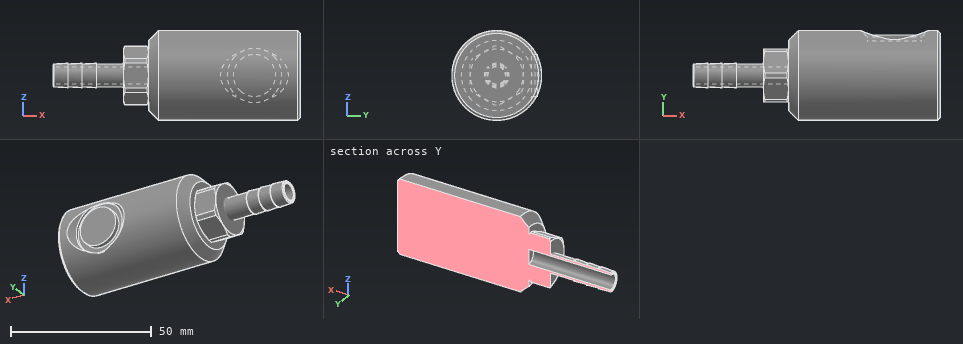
import cadquery as cq
import math

length = 88.0
nut_start = 25.0
body_start = 34.0

body_radius = 16.0
front_chamfer = 3.5
rear_chamfer = 1.1

nut_across_flats = 19.0
nut_corner_radius = 10.5
nut_face_radius = 9.4
nut_bevel = 0.5

stem_radius = 4.1
barb_radius = 4.4
barb_count = 3
barb_pitch = 5.0
tip_chamfer = 0.35
stem_fillet = 0.35
bore_radius = 3.1
bore_chamfer = 0.3

recess_x = 71.6
recess_radius = 9.7
recess_floor = 12.3
countersink_depth = 2.4
pad_radius = 7.5
pad_top = 14.4


def make_body():
    """Turned body with a bevel at each end."""
    body = cq.Workplane("YZ", origin=(body_start, 0, 0)).circle(body_radius).extrude(length - body_start)
    return body.faces("<X").chamfer(front_chamfer).faces(">X").chamfer(rear_chamfer)


def make_nut():
    """Hexagon with corners up and down, trimmed by a disc with bevelled rims."""
    nut_length = body_start - nut_start
    plane = cq.Workplane("YZ", origin=(nut_start, 0, 0))
    corner_diameter = nut_across_flats / math.cos(math.pi / 6)
    hexagon = plane.transformed(rotate=(0, 0, 90)).polygon(6, corner_diameter).extrude(nut_length)
    disc = plane.circle(nut_corner_radius).extrude(nut_length)
    rim_step = nut_corner_radius - nut_face_radius
    disc = disc.faces("<X").chamfer(nut_bevel, rim_step).faces(">X").chamfer(nut_bevel, rim_step)
    return hexagon.intersect(disc)


def make_barb():
    """Revolved stem whose tapered barbs widen away from the open tip."""
    profile = cq.Workplane("XY").lineTo(0, stem_radius - tip_chamfer).lineTo(tip_chamfer, stem_radius)
    for barb in range(1, barb_count + 1):
        barb_end = tip_chamfer + barb * barb_pitch
        profile = profile.lineTo(barb_end, barb_radius).lineTo(barb_end, stem_radius)
    profile = (
        profile.lineTo(nut_start - stem_fillet, stem_radius)
        .radiusArc((nut_start, stem_radius + stem_fillet), -stem_fillet)
        .lineTo(nut_start, 0)
        .close()
    )
    return profile.revolve(360, (0, 0, 0), (1, 0, 0))


def make_bore():
    """Blind bore through the barb and nut, with a bevelled mouth."""
    return (
        cq.Workplane("XY")
        .lineTo(0, bore_radius + bore_chamfer)
        .lineTo(bore_chamfer, bore_radius)
        .lineTo(body_start, bore_radius)
        .lineTo(body_start, 0)
        .close()
        .revolve(360, (0, 0, 0), (1, 0, 0))
    )


def make_recess():
    """Round recess with a 45 degree mouth and a flat floor."""
    profile = (
        cq.Workplane("XY", origin=(recess_x, 0, 0))
        .moveTo(0, recess_floor)
        .lineTo(recess_radius, recess_floor)
        .lineTo(recess_radius, body_radius - countersink_depth)
        .lineTo(recess_radius + countersink_depth, body_radius)
        .lineTo(0, body_radius)
        .close()
    )
    return profile.revolve(360, (0, 0, 0), (0, 1, 0))


def make_pad():
    """Flat-topped cylinder from the body axis out to the pad face."""
    return cq.Workplane("XZ", origin=(recess_x, 0, 0)).circle(pad_radius).extrude(-pad_top)


body_with_pad = make_body().cut(make_recess()).union(make_pad())
result = body_with_pad.union(make_nut()).union(make_barb()).cut(make_bore())